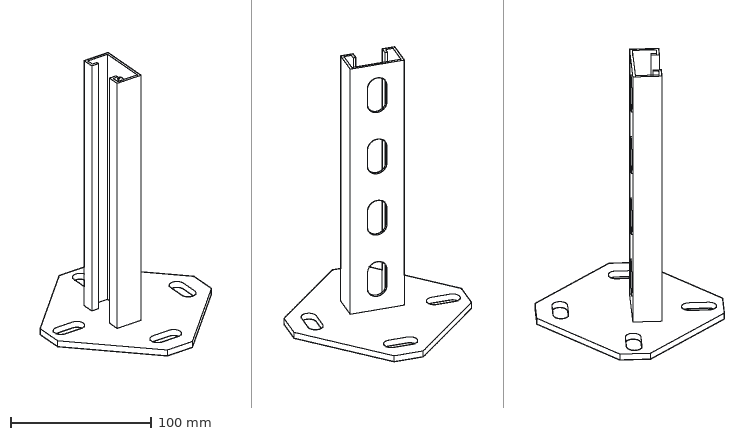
import cadquery as cq

PLATE_SPAN = 134.3
PLATE_FLAT = 22.0
PLATE_THICKNESS = 5.0
PLATE_SLOT_LENGTH = 25.0
PLATE_SLOT_WIDTH = 11.0
PLATE_SLOT_OFFSET = 49.6

TOTAL_HEIGHT = 205.0
RAIL_HEIGHT = TOTAL_HEIGHT - PLATE_THICKNESS
RAIL_WIDTH = 41.0
RAIL_DEPTH = 21.0
RAIL_WALL = 1.95
RAIL_OPENING = 22.0
RAIL_LIP = 6.0
RAIL_BACK_Y = -1.0
RAIL_INNER_RADIUS = 0.51

RAIL_SLOT_COUNT = 4
RAIL_SLOT_PITCH = RAIL_HEIGHT / RAIL_SLOT_COUNT
RAIL_SLOT_LENGTH = 28.0
RAIL_SLOT_WIDTH = 14.5


def make_plate():
    half_span = PLATE_SPAN / 2
    half_flat = PLATE_FLAT / 2
    plate = (
        cq.Workplane("XY")
        .polyline([
            (half_span, -half_flat),
            (half_span, half_flat),
            (half_flat, half_span),
            (-half_flat, half_span),
            (-half_span, half_flat),
            (-half_span, -half_flat),
            (-half_flat, -half_span),
            (half_flat, -half_span),
        ])
        .close()
        .extrude(PLATE_THICKNESS)
    )
    slots = [
        (-PLATE_SLOT_OFFSET, 0, 0),
        (0, PLATE_SLOT_OFFSET, 0),
        (PLATE_SLOT_OFFSET, 0, 90),
        (0, -PLATE_SLOT_OFFSET, 90),
    ]
    for x, y, angle in slots:
        slot = (
            cq.Workplane("XY")
            .center(x, y)
            .slot2D(PLATE_SLOT_LENGTH, PLATE_SLOT_WIDTH, angle)
            .extrude(PLATE_THICKNESS)
        )
        plate = plate.cut(slot)
    return plate


def make_rail_profile():
    """Closed C-shaped section with inward lips, standing on the plate."""
    outer_x = RAIL_WIDTH / 2
    inner_x = outer_x - RAIL_WALL
    lip_x = RAIL_OPENING / 2
    front_y = RAIL_BACK_Y - RAIL_DEPTH
    right_half = [
        (outer_x, RAIL_BACK_Y),
        (outer_x, front_y),
        (lip_x, front_y),
        (lip_x, front_y + RAIL_LIP),
        (lip_x + RAIL_WALL, front_y + RAIL_LIP),
        (lip_x + RAIL_WALL, front_y + RAIL_WALL),
        (inner_x, front_y + RAIL_WALL),
        (inner_x, RAIL_BACK_Y - RAIL_WALL),
    ]
    left_half = [(-x, y) for x, y in reversed(right_half)]
    return cq.Workplane("XY", origin=(0, 0, PLATE_THICKNESS)).polyline(right_half + left_half).close()


def round_inner_front_corners(rail):
    """Round the two inner corners of each front flange, at the side wall and at the lip."""
    flange_y = RAIL_BACK_Y - RAIL_DEPTH + RAIL_WALL
    side_x = RAIL_WIDTH / 2 - RAIL_WALL
    lip_x = RAIL_OPENING / 2 + RAIL_WALL
    mid_z = PLATE_THICKNESS + RAIL_HEIGHT / 2
    for x in (-side_x, -lip_x, lip_x, side_x):
        corner = cq.selectors.NearestToPointSelector((x, flange_y, mid_z))
        rail = rail.edges("|Z").edges(corner).fillet(RAIL_INNER_RADIUS)
    return rail


def make_rail():
    rail = make_rail_profile().extrude(RAIL_HEIGHT)
    rail = round_inner_front_corners(rail)
    for index in range(RAIL_SLOT_COUNT):
        slot_z = PLATE_THICKNESS + (index + 0.5) * RAIL_SLOT_PITCH
        slot = (
            cq.Workplane("XZ", origin=(0, RAIL_BACK_Y, slot_z))
            .slot2D(RAIL_SLOT_LENGTH, RAIL_SLOT_WIDTH, 90)
            .extrude(RAIL_WALL)
        )
        rail = rail.cut(slot)
    return rail


plate = make_plate()
rail = make_rail()
result = cq.Compound.makeCompound([plate.val(), rail.val()])